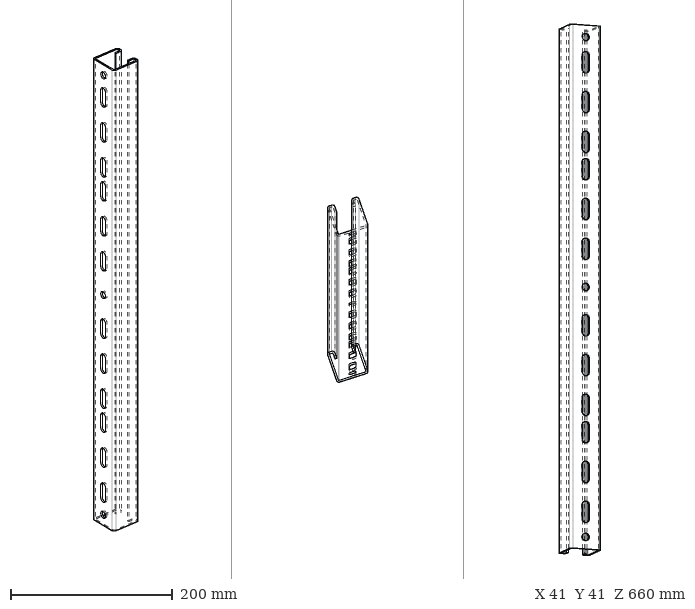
import cadquery as cq

LENGTH = 660.0
WIDTH = 41.0
DEPTH = 41.0

SHEET = 2.5
BEND_RADIUS = 3.0
MOUTH_WIDTH = 22.0
LIP_DEPTH = 10.5

HOLE_DIAMETER = 9.0
SLOT_LENGTH = 27.0
SLOT_PITCH = 50.0
END_HOLE_INSET = 15.0
INNER_GROUP_CENTER = 98.5
OUTER_GROUP_CENTER = 233.0


def make_channel():
    """Lipped channel: the middle line of the sheet, thickened and extruded along Z."""
    wall_x = (WIDTH - SHEET) / 2
    lip_x = (MOUTH_WIDTH + SHEET) / 2
    crown_y = (DEPTH - SHEET) / 2
    web_y = -crown_y
    lip_end_y = DEPTH / 2 - LIP_DEPTH
    overlong_lip_y = lip_end_y - SHEET
    corners = [
        (-lip_x, overlong_lip_y),
        (-lip_x, crown_y),
        (-wall_x, crown_y),
        (-wall_x, web_y),
        (wall_x, web_y),
        (wall_x, crown_y),
        (lip_x, crown_y),
        (lip_x, overlong_lip_y),
    ]
    middle_line = cq.Wire.makePolygon([cq.Vector(x, y) for x, y in corners])
    bends = middle_line.Vertices()[1:-1]
    middle_line = middle_line.fillet2D(BEND_RADIUS - SHEET / 2, bends)
    outline = middle_line.offset2D(SHEET / 2)
    channel = cq.Workplane("XY").add(outline).toPending().extrude(LENGTH / 2, both=True)

    trim_depth = 2 * SHEET
    lip_trim = cq.Workplane("XY").box(MOUTH_WIDTH + 2 * SHEET, trim_depth, LENGTH)
    return channel.cut(lip_trim.translate((0, lip_end_y - trim_depth / 2, 0)))


def make_perforations():
    """Round holes at the ends and middle, and slots in groups of three mirrored about mid-length."""
    end_hole_z = LENGTH / 2 - END_HOLE_INSET
    hole_points = [(0, z) for z in (-end_hole_z, 0, end_hole_z)]
    slot_points = [
        (0, side * (center + step * SLOT_PITCH))
        for side in (-1, 1)
        for center in (INNER_GROUP_CENTER, OUTER_GROUP_CENTER)
        for step in (-1, 0, 1)
    ]
    web_face = cq.Workplane("XZ", origin=(0, -DEPTH / 2, 0))
    holes = web_face.pushPoints(hole_points).circle(HOLE_DIAMETER / 2).extrude(-SHEET)
    slots = web_face.pushPoints(slot_points).slot2D(SLOT_LENGTH, HOLE_DIAMETER, 90).extrude(-SHEET)
    return holes.union(slots)


result = make_channel().cut(make_perforations())